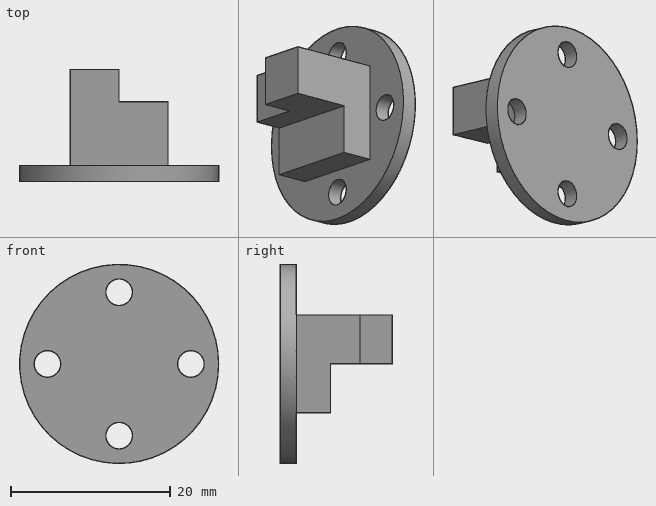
import cadquery as cq

flange_diameter = 25
flange_thickness = 2.02
hole_diameter = 3.3
hole_circle_diameter = 18
hole_count = 4

block_side = 12.3
tall_height = 12.05
middle_height = 8
low_height = 4.3

quarter_side = block_side / 2


def make_flange():
    """Disc with evenly spaced through holes."""
    disc = cq.Workplane("XZ").circle(flange_diameter / 2).extrude(-flange_thickness)
    holes = (
        cq.Workplane("XZ")
        .polarArray(hole_circle_diameter / 2, 0, 360, hole_count)
        .circle(hole_diameter / 2)
        .extrude(-flange_thickness)
    )
    return disc.cut(holes)


def make_step(x_start, z_start, width, height):
    """Rectangular step rooted in the front face so that it fuses with the flange."""
    return cq.Workplane("XY").box(
        width, flange_thickness + height, quarter_side, centered=False
    ).translate((x_start, 0, z_start))


tall_step = make_step(-quarter_side, 0, quarter_side, tall_height)
middle_step = make_step(0, 0, quarter_side, middle_height)
low_step = make_step(-quarter_side, -quarter_side, block_side, low_height)

result = make_flange().union(tall_step).union(middle_step).union(low_step).clean()